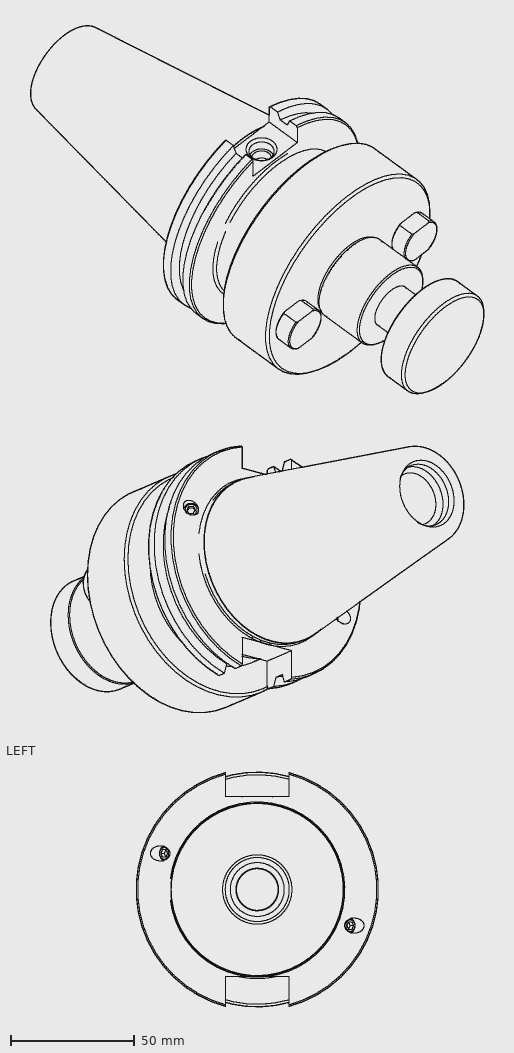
import cadquery as cq
import math


gauge_diameter = 70.2
gauge_x = 101.3
taper_slope = 7 / 48
small_end_fillet = 2.8

flange_start = 104.4
flange_length = 16.0
flange_diameter = 98.3
flange_chamfer = 0.6
groove_center = 112.5
groove_floor_width = 4.0
groove_flank_run = 1.5
groove_depth = 3.5

slot_width = 25.5
upper_slot_height = 37.7
lower_slot_height = 35.3

slot_sink_diameter = 12.5
slot_thread_diameter = 10.2
slot_thread_depth = 5.5
slot_drill_diameter = 8.0
slot_drill_depth = 9.7
drill_point_angle = 140

collar_diameter = 69.7
collar_fillet = 0.6
neck_diameter = 70.2
neck_fillet = 1.0
hub_start = 136.5
hub_end = 162.6
hub_diameter = 95.3
hub_chamfer = 1.0
arbor_diameter = 38.1
arbor_end = 186.2
arbor_chamfer = 0.6
undercut_width = 1.3
undercut_depth = 0.6

bore_mouth_diameter = 28.1
bore_entry_diameter = 26.0
bore_diameter = 21.9
bore_mouth_length = 2.2
bore_entry_end = 5.8
bore_depth = 43.3
through_diameter = 17.3

bolt_diameter = 19.0
bolt_tip = 136.5
bolt_head_diameter = 47.9
bolt_head_length = 13.0
bolt_end = 216.5
bolt_fillet = 1.3
bolt_tip_chamfer = 1.0
bolt_inner_chamfer = 0.5
bolt_outer_chamfer = 1.0

key_diameter = 19.0
key_width = 16.2
key_height = 7.8
key_offset = 33.5
key_chamfer = 0.5

screw_diameter = 6.0
screw_length = 6.5
screw_chamfer = 0.6
screw_offset = 42.0
screw_position_angle = 20.4
screw_tilt = 40.0
hex_width = 3.0
hex_depth = 2.2

flange_end = flange_start + flange_length
flange_radius = flange_diameter / 2
groove_floor_radius = flange_radius - groove_depth
screw_recess = screw_diameter / 2 * math.tan(math.radians(screw_tilt))


def cone_drop(diameter, point_angle):
    """Height of a full cone with the given base diameter and point angle."""
    return diameter / 2 / math.tan(math.radians(point_angle / 2))


def turned(points):
    """Solid of revolution about X from (x, radius) points."""
    profile = cq.Workplane("XY").polyline(points).close()
    return profile.revolve(360, (0, 0, 0), (1, 0, 0))


def cylinder(start, end, diameter):
    """Cylinder along the X axis."""
    return cq.Workplane("YZ", origin=(start, 0, 0)).circle(diameter / 2).extrude(end - start)


def make_shank():
    small_radius = gauge_diameter / 2 - gauge_x * taper_slope
    taper = turned([(0, 0), (0, small_radius), (gauge_x, gauge_diameter / 2), (gauge_x, 0)])
    return taper.faces("<X").edges().fillet(small_end_fillet)


def make_corner_ring(face_x, direction, diameter, fillet):
    """Concave fillet around a cylinder at the face it meets; direction is the way
    that face looks along X.
    """
    foot_radius = diameter / 2
    far_x = face_x + direction * fillet
    arc_offset = fillet * (1 - math.sqrt(0.5))
    profile = (
        cq.Workplane("XY")
        .moveTo(face_x, 0)
        .lineTo(face_x, foot_radius + fillet)
        .threePointArc((face_x + direction * arc_offset, foot_radius + arc_offset), (far_x, foot_radius))
        .lineTo(far_x, 0)
        .close()
    )
    return profile.revolve(360, (0, 0, 0), (1, 0, 0))


def make_groove():
    half_floor = groove_floor_width / 2
    half_mouth = half_floor + groove_flank_run
    return turned([
        (groove_center - half_mouth, flange_radius),
        (groove_center - half_floor, groove_floor_radius),
        (groove_center + half_floor, groove_floor_radius),
        (groove_center + half_mouth, flange_radius),
    ])


def make_slot(height, side):
    """Cutter for a drive slot whose flat floor lies at the given height on the +Z or -Z side."""
    slot_depth = flange_radius - height
    middle = (flange_start + flange_length / 2, 0, side * (height + slot_depth / 2))
    return cq.Workplane("XY", origin=middle).box(flange_length, slot_width, slot_depth)


def make_slot_hole():
    sink_depth = (slot_sink_diameter - slot_thread_diameter) / 2
    point = cone_drop(slot_drill_diameter, drill_point_angle)
    profile = cq.Workplane("XZ").polyline([
        (0, 0),
        (slot_sink_diameter / 2, 0),
        (slot_thread_diameter / 2, -sink_depth),
        (slot_thread_diameter / 2, -slot_thread_depth),
        (slot_drill_diameter / 2, -slot_thread_depth),
        (slot_drill_diameter / 2, -slot_drill_depth),
        (0, -slot_drill_depth - point),
    ]).close()
    cutter = profile.revolve(360, (0, 0, 0), (0, 1, 0))
    return cutter.translate((groove_center, 0, upper_slot_height))


def make_flange():
    flange = cylinder(flange_start, flange_end, flange_diameter)
    flange = flange.faces("<X or >X").edges().chamfer(flange_chamfer)
    return (
        flange.cut(make_groove())
        .cut(make_slot(upper_slot_height, 1))
        .cut(make_slot(lower_slot_height, -1))
    )


def make_hub_and_arbor():
    hub = cylinder(hub_start, hub_end, hub_diameter).faces("<X or >X").edges().chamfer(hub_chamfer)
    arbor = cylinder(hub_end, arbor_end, arbor_diameter).faces(">X").edges().chamfer(arbor_chamfer)
    undercut_end = hub_end + undercut_width
    undercut = cylinder(hub_end, undercut_end, arbor_diameter).cut(
        cylinder(hub_end, undercut_end, arbor_diameter - 2 * undercut_depth)
    )
    return hub.union(arbor.cut(undercut))


def make_bore():
    """Stepped bore from the small end, running into the seat of the clamp bolt."""
    bore_step = (bore_entry_diameter - bore_diameter) / 2
    through_step = (bore_diameter - through_diameter) / 2
    return turned([
        (0, 0),
        (0, bore_mouth_diameter / 2),
        (bore_mouth_length, bore_entry_diameter / 2),
        (bore_entry_end, bore_entry_diameter / 2),
        (bore_entry_end + bore_step, bore_diameter / 2),
        (bore_depth, bore_diameter / 2),
        (bore_depth + through_step, through_diameter / 2),
        (bolt_tip, through_diameter / 2),
        (bolt_tip, bolt_diameter / 2),
        (arbor_end, bolt_diameter / 2),
        (arbor_end, 0),
    ])


def screw_plane(side):
    """Plane at the mouth of the tilted hole on the +Y or -Y side; its normal points into the flange.

    The hole leans toward the axis within a plane parallel to XY.
    """
    position = math.radians(screw_position_angle)
    tilt = math.radians(screw_tilt)
    mouth = (flange_start, side * screw_offset * math.cos(position), side * screw_offset * math.sin(position))
    return cq.Plane(origin=mouth, xDir=(0, 0, 1), normal=(math.cos(tilt), -side * math.sin(tilt), 0))


def make_screw_hole(side):
    """Blind tilted hole that ends where the set screw ends, lengthened outward to clear the face."""
    hole = cq.Workplane(screw_plane(side)).workplane(offset=-screw_recess)
    return hole.circle(screw_diameter / 2).extrude(2 * screw_recess + screw_length)


def make_set_screw(side):
    seat = cq.Workplane(screw_plane(side)).workplane(offset=screw_recess)
    screw = seat.circle(screw_diameter / 2).extrude(screw_length).edges().chamfer(screw_chamfer)
    socket = seat.polygon(6, hex_width, circumscribed=True).extrude(hex_depth)
    return screw.cut(socket)


def make_holder():
    holder = (
        make_shank()
        .union(cylinder(gauge_x, flange_start, collar_diameter))
        .union(make_flange())
        .union(make_corner_ring(flange_start, -1, collar_diameter, collar_fillet))
        .union(cylinder(flange_end, hub_start, neck_diameter))
        .union(make_corner_ring(flange_end, 1, neck_diameter, neck_fillet))
        .union(make_hub_and_arbor())
        .cut(make_bore())
        .cut(make_slot_hole())
    )
    for side in (1, -1):
        holder = holder.cut(make_screw_hole(side))
    return holder


def make_bolt():
    head_start = bolt_end - bolt_head_length
    head = cylinder(head_start, bolt_end, bolt_head_diameter)
    head = head.faces("<X").edges().chamfer(bolt_inner_chamfer)
    head = head.faces(">X").edges().chamfer(bolt_outer_chamfer)
    shank = cylinder(bolt_tip, head_start, bolt_diameter).faces("<X").edges().chamfer(bolt_tip_chamfer)
    neck_ring = make_corner_ring(head_start, -1, bolt_diameter, bolt_fillet)
    return head.union(shank).union(neck_ring)


def make_key(side):
    """Round stud on the hub face, flattened above and below, on the +Y or -Y side."""
    seat = cq.Workplane("YZ", origin=(hub_end, side * key_offset, 0))
    stud = seat.circle(key_diameter / 2).extrude(key_height).edges().chamfer(key_chamfer)
    return stud.intersect(seat.rect(key_diameter, key_width).extrude(key_height))


holder = make_holder()
bolt = make_bolt()
keys = [make_key(side) for side in (1, -1)]
set_screws = [make_set_screw(side) for side in (1, -1)]

result = cq.Compound.makeCompound([
    holder.val(),
    bolt.val(),
    *[key.val() for key in keys],
    *[screw.val() for screw in set_screws],
])